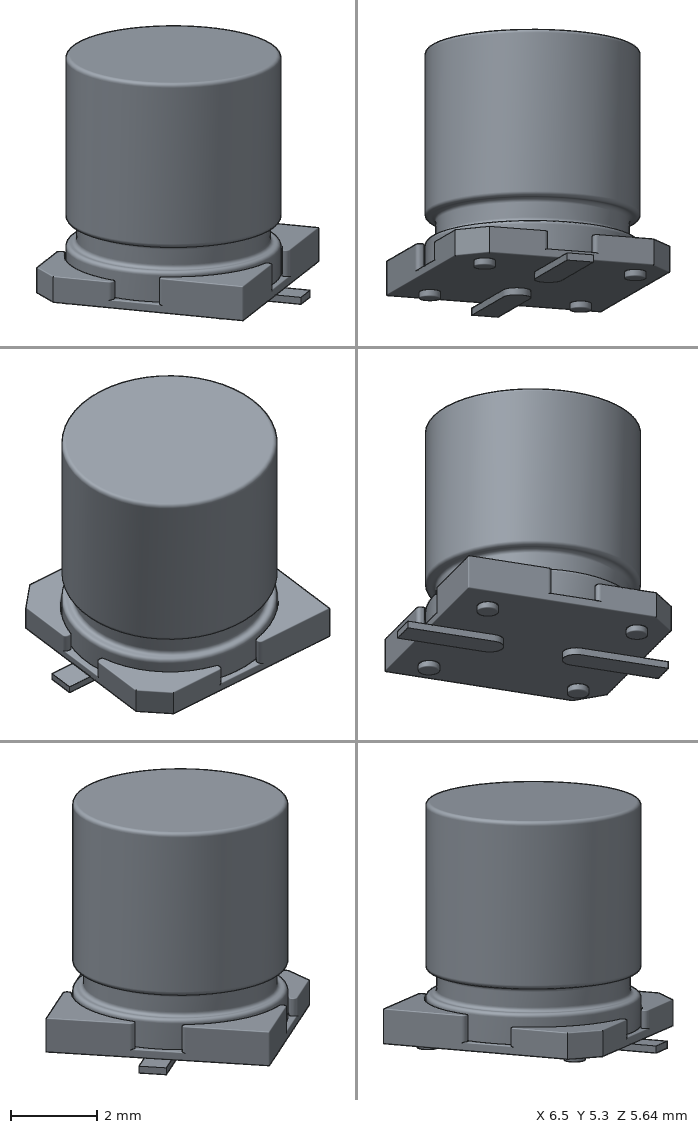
import cadquery as cq

total_height = 5.64
standoff = 0.17
slot_floor_z = 0.37
low_block_top_z = 0.8
high_block_top_z = 1.0

can_radius = 5.0 / 2
neck_radius = 4.5 / 2
can_round = 0.1
neck_bottom_z = 1.1
neck_top_z = 1.67

base_size = 5.3
corner_chamfer = 0.62
pocket_clearance = 0.03
pocket_radius = can_radius + pocket_clearance
slot_half_width = 0.56
slot_mouth_round = 0.1
slot_pocket_round = 0.07
edge_break = 0.025

lead_tip_span = 6.5
lead_width = 0.65
lead_inner_x = 0.755
foot_diameter = 0.5
foot_offset = 1.86

half_base = base_size / 2
pick_margin = 0.01


def box(x_min, x_max, y_min, y_max, z_min, z_max):
    """Axis-aligned box between the given limits."""
    size = (x_max - x_min, y_max - y_min, z_max - z_min)
    return cq.Workplane("XY").box(*size, centered=False).translate((x_min, y_min, z_min))


def make_can():
    """Can with a rounded top and a groove whose corners are all rounded."""
    round_mid = can_round * (1 - 0.5 ** 0.5)
    outer_edge = can_radius - can_round
    groove_edge = neck_radius + can_round

    profile = (
        cq.Workplane("XZ")
        .moveTo(0, slot_floor_z)
        .lineTo(can_radius, slot_floor_z)
        .lineTo(can_radius, neck_bottom_z - can_round)
        .threePointArc(
            (can_radius - round_mid, neck_bottom_z - round_mid), (outer_edge, neck_bottom_z))
        .lineTo(groove_edge, neck_bottom_z)
        .threePointArc(
            (neck_radius + round_mid, neck_bottom_z + round_mid),
            (neck_radius, neck_bottom_z + can_round))
        .lineTo(neck_radius, neck_top_z - can_round)
        .threePointArc(
            (neck_radius + round_mid, neck_top_z - round_mid), (groove_edge, neck_top_z))
        .lineTo(outer_edge, neck_top_z)
        .threePointArc(
            (can_radius - round_mid, neck_top_z + round_mid), (can_radius, neck_top_z + can_round))
        .lineTo(can_radius, total_height - can_round)
        .threePointArc(
            (can_radius - round_mid, total_height - round_mid), (outer_edge, total_height))
        .lineTo(0, total_height)
        .close()
    )
    return profile.revolve(360, (0, 0, 0), (0, 1, 0))


def boxes_around(points):
    """Selector for everything centred within a small margin of any of the given points."""
    selector = None
    for x, y, z in points:
        near = cq.selectors.BoxSelector(
            (x - pick_margin, y - pick_margin, z - pick_margin),
            (x + pick_margin, y + pick_margin, z + pick_margin))
        selector = near if selector is None else selector + near
    return selector


def slot_edge_selector(distance):
    """Vertical slot-wall edges lying at the given distance from the part's mid-planes."""
    points = []
    for side_x in (-1, 1):
        block_top_z = low_block_top_z if side_x < 0 else high_block_top_z
        middle_z = (slot_floor_z + block_top_z) / 2
        for side_y in (-1, 1):
            points.append((side_x * distance, side_y * slot_half_width, middle_z))
            points.append((side_x * slot_half_width, side_y * distance, middle_z))
    return boxes_around(points)


def slot_floor_selector():
    """Outer edges of the four slot floors."""
    points = []
    for side in (-1, 1):
        points.append((side * half_base, 0, slot_floor_z))
        points.append((0, side * half_base, slot_floor_z))
    return boxes_around(points)


def make_base():
    """Base plate with four corner blocks around the can, parted by edge slots."""
    base = box(-half_base, half_base, -half_base, half_base, standoff, high_block_top_z)
    base = base.edges("|Z and <X").chamfer(corner_chamfer)

    step = box(-half_base, 0, -half_base, half_base, low_block_top_z, high_block_top_z)
    base = base.cut(step)

    pocket_depth = high_block_top_z - slot_floor_z
    opening = (
        cq.Workplane("XY").workplane(offset=slot_floor_z)
        .circle(pocket_radius).extrude(pocket_depth)
    )
    slot_width = 2 * slot_half_width
    for length_x, length_y in ((base_size, slot_width), (slot_width, base_size)):
        slot = (
            cq.Workplane("XY").workplane(offset=slot_floor_z)
            .rect(length_x, length_y).extrude(pocket_depth)
        )
        opening = opening.union(slot)
    base = base.cut(opening)

    base = base.edges(slot_edge_selector(half_base)).fillet(slot_mouth_round)
    pocket_edge_y = (pocket_radius ** 2 - slot_half_width ** 2) ** 0.5
    base = base.edges(slot_edge_selector(pocket_edge_y)).fillet(slot_pocket_round)

    base = base.edges("|Z and >X").edges(">Y or <Y").fillet(edge_break)
    base = base.edges(slot_floor_selector()).fillet(edge_break)
    for level in (low_block_top_z, high_block_top_z):
        tops = base.faces(cq.selectors.BoxSelector(
            (-base_size, -base_size, level - pick_margin),
            (base_size, base_size, level + pick_margin)))
        base = tops.edges().fillet(edge_break)
    return base.faces("<Z").edges().fillet(edge_break)


def make_lead(side):
    """Flat lead under the base, on the side of the given sign, with a round inner end."""
    end_radius = lead_width / 2
    round_centre_x = lead_inner_x + end_radius
    return (
        cq.Workplane("XY")
        .moveTo(side * lead_tip_span / 2, -end_radius)
        .lineTo(side * round_centre_x, -end_radius)
        .threePointArc((side * lead_inner_x, 0), (side * round_centre_x, end_radius))
        .lineTo(side * lead_tip_span / 2, end_radius)
        .close()
        .extrude(standoff)
    )


def make_feet():
    """Four round feet under the base corners, rounded at both ends."""
    return (
        cq.Workplane("XY")
        .rect(2 * foot_offset, 2 * foot_offset, forConstruction=True).vertices()
        .circle(foot_diameter / 2).extrude(standoff)
        .edges("%CIRCLE").fillet(edge_break)
    )


result = make_base().union(make_can()).union(make_feet())
for lead_side in (-1, 1):
    result = result.union(make_lead(lead_side))